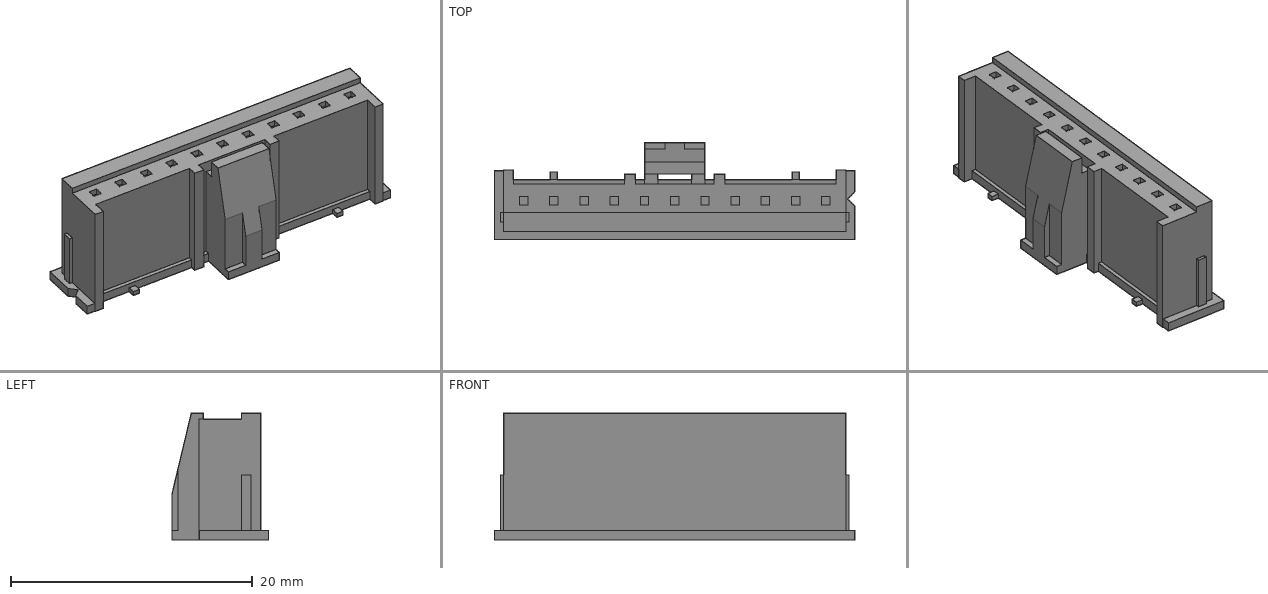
import cadquery as cq

flange_length = 29.8
flange_thickness = 0.8
flange_end_back = 5.7
flange_middle_back = 4.95

body_length = 28.3
body_front = 0.65
body_back = 4.6
shelf_height = 10.0
total_height = 10.5
lip_back = 2.25

ear_width = 0.8
ear_back = 5.75

end_rib_projection = 0.27
end_rib_front = 1.45
end_rib_height = 5.4

post_offset = 3.7
post_width = 0.9
post_back = 5.4

peg_offset = 10.0
peg_width = 0.6
peg_back = 5.6
peg_height = flange_thickness / 2

contact_count = 11
contact_pitch = 2.5
contact_size = 0.7
contact_y = 3.2
contact_depth = 0.5

latch_width = 5.0
latch_front = 5.4
latch_top_back = 6.4
latch_back = 8.0
latch_slope_bottom = 3.8
latch_relief_back = 7.5
latch_key_width = 1.6
leg_width = 1.1
leg_height = 9.0

notch_depth = 0.6
notch_width = 2 * notch_depth
notch_y = 3.35


def block(x_min, x_max, y_min, y_max, z_min, z_max):
    """Axis-aligned box given by its limits."""
    size = (x_max - x_min, y_max - y_min, z_max - z_min)
    return cq.Workplane("XY").box(*size, centered=False).translate((x_min, y_min, z_min))


def centred_block(x_centre, width, y_min, y_max, z_min, z_max):
    """Axis-aligned box given by its X centre and width."""
    return block(x_centre - width / 2, x_centre + width / 2, y_min, y_max, z_min, z_max)


def make_flange():
    """Base flange, full depth only beyond the inner faces of the ears, with the marker notch."""
    flange = centred_block(0, flange_length, 0, flange_middle_back, 0, flange_thickness)
    end_width = (flange_length - body_length) / 2 + ear_width
    end_centre = (flange_length - end_width) / 2
    for side in (-1, 1):
        end = centred_block(side * end_centre, end_width, 0, flange_end_back, 0, flange_thickness)
        flange = flange.union(end)
    edge = flange_length / 2
    notch = (
        cq.Workplane("XY")
        .moveTo(edge, notch_y - notch_width / 2)
        .lineTo(edge - notch_depth, notch_y)
        .lineTo(edge, notch_y + notch_width / 2)
        .close()
        .extrude(flange_thickness)
    )
    return flange.cut(notch)


def make_housing():
    """Main block with its raised front lip, rear ears, guide posts, pegs and end ribs."""
    housing = centred_block(0, body_length, body_front, body_back, 0, shelf_height)
    housing = housing.union(centred_block(0, body_length, body_front, lip_back, 0, total_height))
    ear_centre = (body_length - ear_width) / 2
    rib_length = body_length + 2 * end_rib_projection
    housing = housing.union(centred_block(0, rib_length, end_rib_front, lip_back, 0, end_rib_height))
    for side in (-1, 1):
        ear = centred_block(side * ear_centre, ear_width, body_front, ear_back, 0, shelf_height)
        post = centred_block(side * post_offset, post_width, body_front, post_back, 0, shelf_height)
        peg = centred_block(side * peg_offset, peg_width, body_front, peg_back, 0, peg_height)
        housing = housing.union(ear).union(post).union(peg)
    return housing


def make_latch():
    """Sloped lever with a central key, standing behind the housing on two legs."""
    latch = (
        cq.Workplane("YZ")
        .moveTo(latch_front, 0)
        .lineTo(latch_back, 0)
        .lineTo(latch_back, latch_slope_bottom)
        .lineTo(latch_top_back, total_height)
        .lineTo(latch_front, total_height)
        .close()
        .extrude(latch_width / 2, both=True)
    )
    relief_width = (latch_width - latch_key_width) / 2
    relief_centre = (latch_width - relief_width) / 2
    leg_centre = (latch_width - leg_width) / 2
    for side in (-1, 1):
        relief = centred_block(
            side * relief_centre, relief_width, latch_relief_back, latch_back, flange_thickness, total_height
        )
        leg = centred_block(side * leg_centre, leg_width, body_back, latch_front, 0, leg_height)
        latch = latch.cut(relief).union(leg)
    return latch


def make_contact_openings():
    """Row of square blind pockets sunk from the shelf."""
    first_x = -contact_pitch * (contact_count - 1) / 2
    openings = cq.Workplane("XY")
    for index in range(contact_count):
        opening = centred_block(
            first_x + index * contact_pitch,
            contact_size,
            contact_y - contact_size / 2,
            contact_y + contact_size / 2,
            shelf_height - contact_depth,
            shelf_height,
        )
        openings = openings.add(opening)
    return openings.combine()


body = make_flange().union(make_housing()).union(make_latch())
result = body.cut(make_contact_openings())